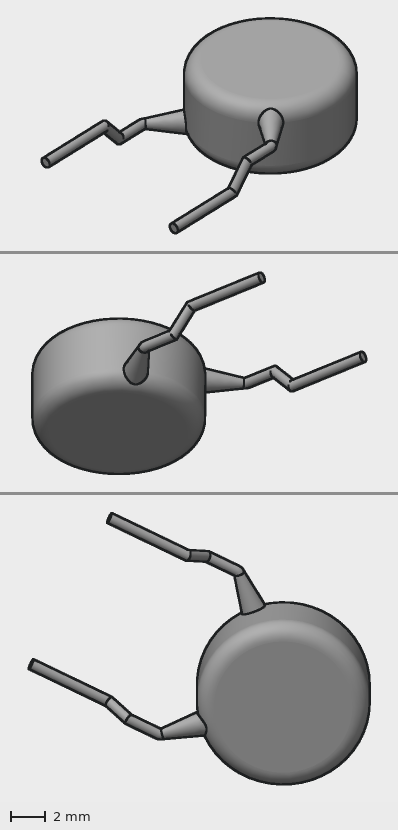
import cadquery as cq
import math


disc_diameter = 10.0
disc_height = disc_diameter / 2
edge_radius = disc_height / 5

lead_spacing = disc_diameter
lead_diameter = 0.64
lead_tip_y = -13.8
elbow_radius = 0.34
crank_start_y = -7.48
crank_end_y = -8.76
exit_angle = 42.6

collar_root_diameter = 1.77

disc_radius = disc_diameter / 2
flat_radius = disc_radius - edge_radius
lead_radius = lead_diameter / 2
lead_x = lead_spacing / 2
exit_z = disc_height / 2 - edge_radius

sin_exit = math.sin(math.radians(exit_angle))
cos_exit = math.cos(math.radians(exit_angle))
outward = cq.Vector(sin_exit, -cos_exit, 0)

pivot_x = lead_x - elbow_radius
pivot_y = -(pivot_x * cos_exit + elbow_radius) / sin_exit
collar_tip_distance = pivot_x * sin_exit - pivot_y * cos_exit


def make_disc():
    """Round disc with both rims fully rounded."""
    return cq.Workplane("XY").cylinder(disc_height, disc_radius).edges("%CIRCLE").fillet(edge_radius)


def make_collar(disc):
    """Cone along the radial axis, trimmed to sit on the outside of the disc."""
    axial_plane = cq.Plane(
        origin=(0, 0, exit_z),
        xDir=outward,
        normal=outward.cross(cq.Vector(0, 0, 1)),
    )
    cone = (
        cq.Workplane(axial_plane)
        .polyline(
            [
                (flat_radius, 0),
                (flat_radius, collar_root_diameter / 2),
                (collar_tip_distance, lead_radius),
                (collar_tip_distance, 0),
            ]
        )
        .close()
        .revolve(360, (0, 0, 0), (1, 0, 0))
    )
    return cone.cut(disc)


def make_lead():
    """Elbow at the collar tip, then a wire cranked to the mid-height of the disc."""
    elbow_start = cq.Plane(origin=(lead_x, pivot_y, exit_z), xDir=(1, 0, 0), normal=(0, -1, 0))
    elbow = (
        cq.Workplane(elbow_start)
        .circle(lead_radius)
        .revolve(exit_angle, (-elbow_radius, -0.19, 0), (-elbow_radius, 0.19, 0))
    )
    path = cq.Workplane("YZ", origin=(lead_x, 0, 0)).polyline(
        [
            (pivot_y, exit_z),
            (crank_start_y, exit_z),
            (crank_end_y, 0),
            (lead_tip_y, 0),
        ]
    )
    wire = cq.Workplane(elbow_start).circle(lead_radius).sweep(path, transition="right")
    return wire.union(elbow)


disc = make_disc()
collars = []
leads = []
for turn in (0, 180):
    collars.append(make_collar(disc).solids().rotate((0, 0, 0), (0, 1, 0), turn).val())
    leads.append(make_lead().solids().rotate((0, 0, 0), (0, 1, 0), turn).val())

result = cq.Compound.makeCompound([disc.val(), *collars, *leads])